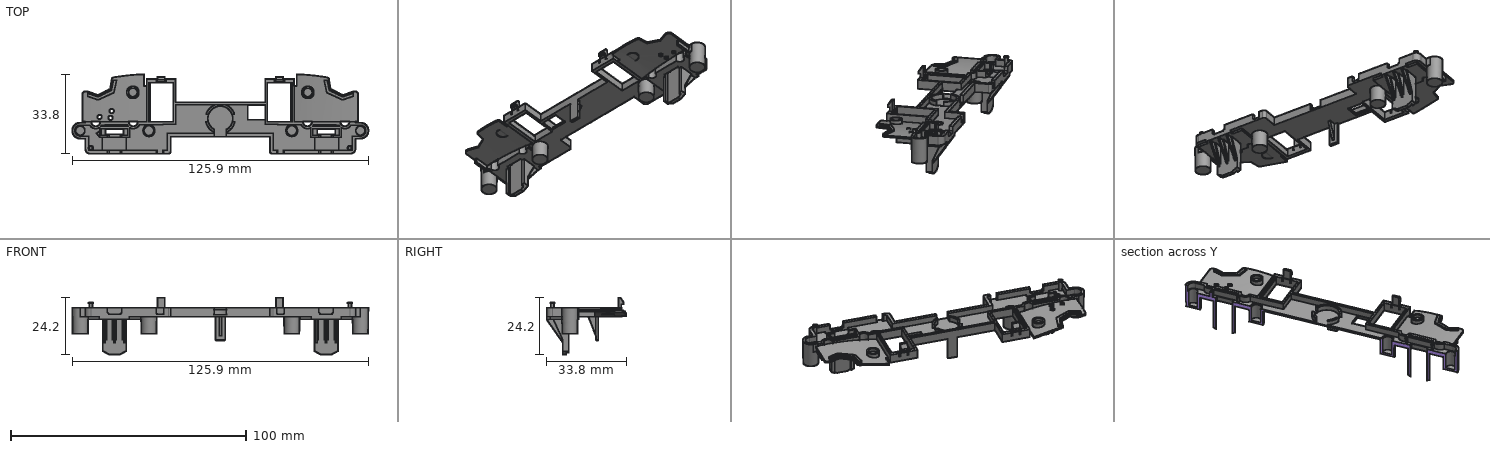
import cadquery as cq


overall_length = 125.89
overall_height = 24.15

rim_top = 3.9
floor_top = 1.15
pad_depth = 1.1
boss_bottom = -7.2
boss_hole_floor = -6.0

wall = 1.5
back_wall = 1.15
front_y = -16.91
tray_left = -57.45
tray_right = -21.0
tray_back = -3.2
bridge_front = -9.65
bridge_back = 5.15
tray_left_radius = 2.4
tray_right_radius = 1.2

lug_radius = 3.45
lug_x = lug_radius - overall_length / 2
boss_y = -7.0
lug_hole_radius = 2.3
lug_bore_radius = 1.95
boss_draft = 0.15
inner_boss_x = -30.35
inner_boss_radius = 3.4
inner_hole_radius = 2.1
inner_hole_chamfer = 0.4

frame_left = -31.3
frame_right = -19.0
frame_back = 14.95
window_left = -29.8
window_right = -20.0
window_back = 13.3
ledge_width = 0.7
ledge_depth = 0.7
hook_left = -26.7
hook_right = -23.6
hook_top = 8.13
hook_front = 13.66
hook_back = 14.9
hook_barb = 0.9
hook_barb_low = 5.3
hook_barb_high = 6.2
hook_slot = 0.6
hook_slot_depth = 1.6

clip_left = -51.3
clip_right = -38.5
clip_front = -9.75
clip_back = -5.15
clip_wall = 0.8
clip_back_wall = 1.0
opening_left = -48.7
opening_right = -41.2
opening_front = -8.45
opening_back = -6.5
clip_shelf_top = 3.2
notch_left = -48.0
notch_right = -41.8
notch_chamfer = 0.8
tab_reach = 1.3
tab_tip_y = -8.2
tab_back = -7.2
tab_top = 3.2
recess_left = -50.2
recess_right = -40.0
recess_floor = 0.3
side_notch_left = -27.15
side_notch_right = -24.0
side_notch_chamfer = 0.4
relief_x = (-52.9, -37.0)
relief_radius = 1.9
relief_wall = 1.05

pad_left = -56.1
pad_right = inner_boss_x - inner_boss_radius
apron_left = -51.4
apron_right = -38.7
tongue_left = -50.0
tongue_right = -39.9
tongue_front = -10.05
tongue_back = -7.45
tongue_bottom = hook_top - overall_height
tongue_tip_rise = 1.5
tongue_tip_flat = 4.6
rib_width = 1.7
rib_crest_width = 0.7
rib_crest_bottom = -10.9
rib_body_bottom = -9.7
rib_body_setback = 2.9
pin_x = -55.0
pin_y = -14.4
pin_radius = 0.75
pin_head_radius = 1.0
pin_head_height = 0.45
pin_top = 6.15

dome_radius = 110.0
dome_crest_x = -53.0
dome_crest_z = 3.05
wing_thickness = 0.8
wing_blank_depth = 5.0
wing_left = -58.55
wing_left_back = 8.9
wing_tip = (-57.7, 9.65)
wing_corner = (-45.3, 15.7)
wing_arc_middle = (-39.5, 16.5)
wing_arc_end_x = -34.8
wing_right = -32.4
wing_step_y = 12.0
wing_back = -front_y
edge_start_x = -56.4
edge_start_y = 9.65
edge_valley_x = -51.95
edge_valley_y = 8.1
edge_bend_x = -46.85
edge_bend_y = 10.75
edge_end_x = -46.1
ridge_height = 0.65
ridge_rear = 14.5
corner_rear = 15.3
ridge_inset = 0.75
ridge_width = 1.3
wing_boss_x = -37.15
wing_boss_y = 9.25
wing_boss_radius = 2.6
wing_boss_hole_radius = 1.85
wing_boss_top = 3.75
wing_boss_floor = 2.4
wing_boss_root = 1.0
skirt_back = 3.5
skirt_inset = 0.4
skirt_thickness = 1.0
skirt_top = 2.7
light_holes = ((-46.15, 1.3), (-51.3, -1.2), (-46.65, -1.6))
light_hole_radius = 0.9

ring_y = -1.9
ring_radius = 5.3
ring_wall = 1.0
ring_top = 3.05
ring_gap_front = -3.3
ring_gap_back = 0.0
disc_floor = 0.8
channel_half = 2.6
leg_half = 2.1
leg_bottom = -10.1
leg_thickness = 1.15
leg_tip_chamfer = 0.4
leg_rib_half = 0.55
leg_rib_bottom = -8.05
leg_rib_front = 0.85
cutout_left = 11.7
cutout_front = -2.3
cutout_back = 3.75


def box(x0, x1, y0, y1, z0, z1):
    return cq.Workplane("XY").box(x1 - x0, y1 - y0, z1 - z0, centered=False).translate((x0, y0, z0))


def cylinder(x, y, radius, z0, z1):
    return cq.Workplane("XY").workplane(offset=z0).center(x, y).circle(radius).extrude(z1 - z0)


def cone(x, y, z0, z1, radius_low, radius_high):
    solid = cq.Solid.makeCone(radius_low, radius_high, z1 - z0, cq.Vector(x, y, z0), cq.Vector(0, 0, 1))
    return cq.Workplane(obj=solid)


def drafted_boss(x, y, radius, z_top):
    """Round boss hanging to the common boss bottom, a little narrower at its lower end."""
    return cone(x, y, boss_bottom, z_top, radius - boss_draft, radius)


def prism(points, z0, z1):
    return cq.Workplane("XY").workplane(offset=z0).polyline(points).close().extrude(z1 - z0)


def profile_along_x(points, x0, x1):
    """Extrude a (Y, Z) profile from x0 to x1."""
    return cq.Workplane("YZ").workplane(offset=x0).polyline(points).close().extrude(x1 - x0)


def tray_shell():
    """Floor and walls of the left half: tray, half bridge, lug and window frame."""
    tray = box(tray_left, tray_right, front_y, tray_back, 0, rim_top)
    tray = tray.edges("|Z and <Y and <X").fillet(tray_left_radius)
    tray = tray.edges("|Z and <Y and >X").fillet(tray_right_radius)
    frame_block = box(frame_left, frame_right, tray_back - back_wall, frame_back, 0, rim_top)
    lug_front = boss_y - lug_radius
    lug_back = boss_y + lug_radius
    shell = (
        tray.union(box(tray_right - wall, 0, bridge_front, bridge_back, 0, rim_top))
        .union(box(lug_x, tray_left, lug_front, lug_back, 0, rim_top))
        .union(drafted_boss(lug_x, boss_y, lug_radius, rim_top))
        .union(drafted_boss(inner_boss_x, boss_y, inner_boss_radius, floor_top))
        .union(frame_block)
    )
    cavity = prism(
        [
            (0, bridge_front + wall),
            (tray_right - wall, bridge_front + wall),
            (tray_right - wall, front_y + wall),
            (tray_left + wall, front_y + wall),
            (tray_left + wall, boss_y - lug_hole_radius),
            (lug_x, boss_y - lug_hole_radius),
            (lug_x, boss_y + lug_hole_radius),
            (frame_right, tray_back - back_wall),
            (frame_right, bridge_back - back_wall),
            (0, bridge_back - back_wall),
        ],
        floor_top,
        rim_top,
    )
    cavity = cavity.cut(frame_block)
    for x in relief_x:
        cavity = cavity.cut(cylinder(x, tray_back, relief_radius + relief_wall, 0, rim_top))
    return shell.cut(cavity)


def tray_pad():
    """Thicker floor under the tray, flush with the front wall above the tongue."""
    pad = box(pad_left, pad_right, front_y + wall, tray_back, -pad_depth, 0)
    return pad.union(box(apron_left, apron_right, front_y, tray_back, -pad_depth, 0))


def boss_holes():
    lug_hole = cylinder(lug_x, boss_y, lug_hole_radius, floor_top, rim_top)
    lug_hole = lug_hole.union(cylinder(lug_x, boss_y, lug_bore_radius, boss_hole_floor, floor_top))
    inner_hole = cylinder(inner_boss_x, boss_y, inner_hole_radius, boss_hole_floor, floor_top)
    countersink = cone(
        inner_boss_x, boss_y, floor_top - inner_hole_chamfer, floor_top,
        inner_hole_radius, inner_hole_radius + inner_hole_chamfer,
    )
    return lug_hole.union(inner_hole).union(countersink)


def window_opening():
    opening = box(window_left, window_right, tray_back, window_back, -pad_depth, rim_top)
    ledge = box(window_left - ledge_width, window_left, tray_back, window_back,
                rim_top - ledge_depth, rim_top)
    slots = box(hook_left - hook_slot, hook_right + hook_slot, window_back, frame_back,
                rim_top - hook_slot_depth, rim_top)
    slots = slots.cut(box(hook_left, hook_right, window_back, frame_back, 0, rim_top))
    return opening.union(ledge).union(slots)


def snap_hook():
    return profile_along_x(
        [
            (hook_front, 0),
            (hook_front, hook_top),
            (hook_back - hook_barb / 3, hook_top),
            (hook_back + hook_barb, hook_barb_high),
            (hook_back + hook_barb, hook_barb_low),
            (hook_back, hook_barb_low),
            (hook_back, 0),
        ],
        hook_left,
        hook_right,
    )


def connector_clip():
    """Open box behind the wide front notch, with a shelf against the back wall."""
    clip = box(clip_left, clip_right, clip_front, clip_back, 0, rim_top)
    clip = clip.cut(
        box(clip_left + clip_wall, clip_right - clip_wall, clip_front + clip_wall, clip_back - clip_back_wall,
            floor_top, rim_top)
    )
    return clip.union(box(recess_left, recess_right, clip_back, tray_back - back_wall, 0, clip_shelf_top))


def connector_cuts():
    """Notch through clip and front wall, floor recess between them, and the opening down the tongue."""
    notch = (
        box(notch_left, notch_right, front_y, opening_front, floor_top, rim_top)
        .edges("|Y and <Z")
        .chamfer(notch_chamfer)
    )
    recess = box(recess_left, recess_right, front_y + wall, clip_front, recess_floor, floor_top)
    opening = box(opening_left, opening_right, opening_front, opening_back, tongue_bottom, rim_top)
    return notch.union(recess).union(opening)


def side_notch_cut():
    notch = box(side_notch_left, side_notch_right, front_y, front_y + wall, floor_top, rim_top)
    return notch.edges("|Y and <Z").chamfer(side_notch_chamfer)


def relief_cuts():
    cuts = cylinder(relief_x[0], tray_back, relief_radius, -pad_depth, rim_top)
    return cuts.union(cylinder(relief_x[1], tray_back, relief_radius, -pad_depth, rim_top))


def tongue():
    """Tongue with a bowed tip and three tapering ribs up to the front wall."""
    middle = (tongue_left + tongue_right) / 2
    shoulder = tongue_bottom + tongue_tip_rise
    plate = (
        cq.Workplane("XZ", origin=(0, tongue_back, 0))
        .moveTo(tongue_left, 0)
        .lineTo(tongue_left, shoulder)
        .lineTo(middle - tongue_tip_flat / 2, tongue_bottom)
        .lineTo(middle + tongue_tip_flat / 2, tongue_bottom)
        .lineTo(tongue_right, shoulder)
        .lineTo(tongue_right, 0)
        .close()
        .extrude(tongue_back - tongue_front)
    )
    for x in (tongue_left + rib_width / 2, middle, tongue_right - rib_width / 2):
        crest = [(tongue_front, -pad_depth), (front_y, -pad_depth), (tongue_front, rib_crest_bottom)]
        body = [
            (tongue_front, -pad_depth),
            (front_y + rib_body_setback, -pad_depth),
            (tongue_front, rib_body_bottom),
        ]
        plate = plate.union(profile_along_x(crest, x - rib_crest_width / 2, x + rib_crest_width / 2))
        plate = plate.union(profile_along_x(body, x - rib_width / 2, x + rib_width / 2))
    return plate


def pin():
    stem = cylinder(pin_x, pin_y, pin_radius, 0, pin_top)
    head = cylinder(pin_x, pin_y, pin_head_radius, pin_top - pin_head_height, pin_top)
    return stem.union(head.faces(">Z").chamfer(pin_head_height / 2))


def dome(height):
    """Cylinder along Y whose top is the wing surface raised by the given height."""
    center = (dome_crest_x, wing_back, dome_crest_z - dome_radius)
    return cq.Workplane("XZ", origin=center).circle(dome_radius + height).extrude(wing_back - tray_back)


def notched_edge(inset, rear_y):
    """Points of the wing's notched rear corner, moved inward by the inset."""
    bend_shift = 0.8 * inset
    return [
        (edge_start_x, edge_start_y - inset),
        (edge_valley_x, edge_valley_y - inset),
        (edge_bend_x + bend_shift, edge_bend_y - bend_shift),
        (edge_end_x + inset, rear_y),
    ]


def wing():
    """Thin domed sheet with a ridge along its notched corner, a blind boss and an end skirt."""
    low = dome_crest_z - wing_blank_depth
    high = dome_crest_z + ridge_height
    outline = (
        cq.Workplane("XY")
        .workplane(offset=low)
        .moveTo(wing_left, tray_back)
        .lineTo(wing_left, wing_left_back)
        .lineTo(*wing_tip)
    )
    for point in notched_edge(0, corner_rear):
        outline = outline.lineTo(*point)
    outline = (
        outline.lineTo(*wing_corner)
        .threePointArc(wing_arc_middle, (wing_arc_end_x, wing_back))
        .lineTo(wing_right, wing_back)
        .lineTo(wing_right, wing_step_y)
        .lineTo(frame_left, wing_step_y)
        .lineTo(frame_left, tray_back)
        .close()
        .extrude(high - low)
    )
    outer_edge = notched_edge(ridge_inset, ridge_rear)
    inner_edge = notched_edge(ridge_inset + ridge_width, ridge_rear)
    ridge_band = prism(outer_edge + inner_edge[::-1], low, high).intersect(dome(ridge_height))
    sheet = outline.intersect(dome(0)).union(ridge_band).cut(dome(-wing_thickness))
    boss = cylinder(wing_boss_x, wing_boss_y, wing_boss_radius, wing_boss_root, wing_boss_top)
    boss = boss.cut(cylinder(wing_boss_x, wing_boss_y, wing_boss_hole_radius, wing_boss_floor, wing_boss_top))
    skirt_left = wing_left + skirt_inset
    skirt = box(skirt_left, skirt_left + skirt_thickness, tray_back, skirt_back, 0, skirt_top)
    return sheet.union(boss).union(skirt)


def clip_tab():
    """Small triangular tab on the outer side of the left clip."""
    return prism(
        [(clip_left, clip_front), (clip_left - tab_reach, tab_tip_y), (clip_left, tab_back)], 0, tab_top
    )


def half_part():
    return (
        tray_shell()
        .union(tray_pad())
        .union(connector_clip())
        .cut(boss_holes())
        .cut(window_opening())
        .cut(side_notch_cut())
        .cut(relief_cuts())
        .union(snap_hook())
        .union(tongue())
        .cut(connector_cuts())
        .union(pin())
        .union(wing())
    )


def bridge_middle(part):
    """Slotted ring around a sunk disc, with a channel out through the front wall."""
    ring = cylinder(0, ring_y, ring_radius + ring_wall, 0, ring_top)
    reach = ring_radius + 2 * ring_wall
    ring = ring.cut(box(-reach, reach, ring_gap_front, ring_gap_back, floor_top, rim_top))
    channel = box(-channel_half, channel_half, bridge_front, ring_y, disc_floor, rim_top)
    return part.union(ring).cut(cylinder(0, ring_y, ring_radius, disc_floor, rim_top)).cut(channel)


def bridge_leg():
    leg_front = bridge_back - leg_thickness
    leg = box(-leg_half, leg_half, leg_front, bridge_back, leg_bottom, 0)
    leg = leg.faces("<Z").chamfer(leg_tip_chamfer)
    rib = profile_along_x(
        [(leg_front, 0), (leg_rib_front, 0), (leg_front, leg_rib_bottom)],
        -leg_rib_half,
        leg_rib_half,
    )
    return leg.union(rib)


left = half_part()
result = bridge_middle(left.union(left.mirror("YZ"))).union(bridge_leg())
result = result.cut(box(cutout_left, -frame_right, cutout_front, cutout_back, 0, floor_top))
result = result.union(clip_tab())
for hole_x, hole_y in light_holes:
    result = result.cut(cylinder(hole_x, hole_y, light_hole_radius, 0, rim_top))
result = result.clean()